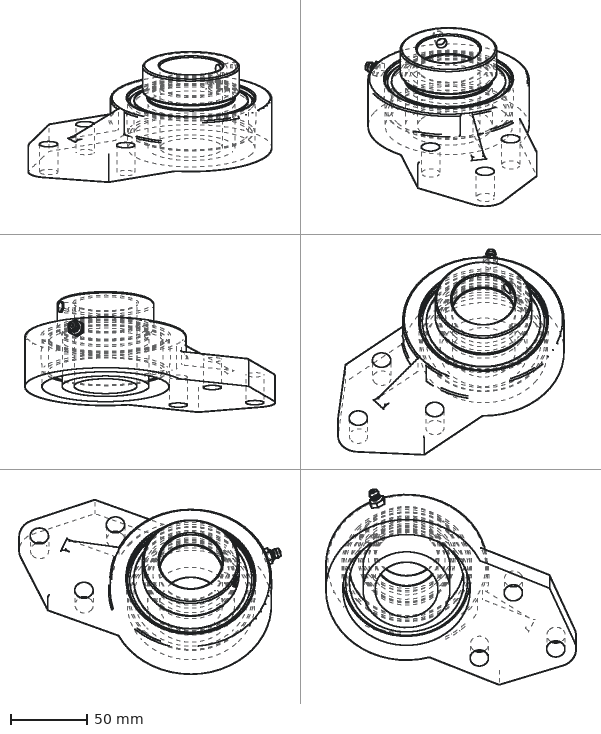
import cadquery as cq
import math

overall_height = 56.7
overall_length = 174

hub_radius = 52.98
hub_height = 34.5
hub_bore_radius = 41.8
hub_bore_chamfer = 0.9
rim_fillet = 1.0
flange_half_width = 40.0
flange_thickness = 19.0
flange_edge_fillet = 1.5
shoulder_y = -84.9
tip_radius = 13.4
side_hole_x = 27.0
side_hole_y = -64.7
bolt_hole_diameter = 12.0
rib_half_width = 4.2
rib_end_y = -90.1
rib_edge_fillet = 1.0
root_fillet = 1.0

bearing_z = 21.4
ball_radius = 42.54
outer_ring_width = 22.0
outer_ring_inner_radius = 37.5
outer_ring_chamfer = 1.0
shaft_radius = 20.62
inner_ring_bottom = 0.3
shoulder_radius = 28.5
spigot_radius = 25.14
spigot_length = 4.0
spigot_chamfer = 0.5
seal_step = 0.5
seal_cone_top = 34.3
seal_lip_radius = 28.97
seal_lip_top = 35.3
seal_thickness = 1.7

collar_radius = 31.75
collar_height = 18.3
collar_chamfer = 1.0
bore_chamfer = 0.9
screw_radius = 3.4
screw_z = 50.6
screw_inner_y = 25.2
screw_outer_y = 32.7

nipple_z = 27.1
nipple_angle = 135
hex_flats = 9.2
hex_top = 56.2
cone_top = 57.8
cone_top_radius = 3.3
neck_radius = 2.3
neck_top = 58.8
band_radius = 3.0
ridge_height = 60.7
ridge_radius = 3.3
face_height = 63.0
face_radius = 2.6
ball_seat_radius = 1.13
nipple_reach = 63.5

collar_bottom = overall_height - collar_height
tip_hole_y = hub_radius - overall_length + tip_radius
rib_start_y = -hub_bore_radius
rib_slope_y = rim_fillet - hub_radius
spigot_top = collar_bottom + spigot_length
ring_top = bearing_z + outer_ring_width / 2
ring_bottom = bearing_z - outer_ring_width / 2


def cylinder(radius, bottom, top):
    return cq.Workplane("XY").workplane(offset=bottom).circle(radius).extrude(top - bottom)


def revolve_profile(points):
    """Turn a (radius, z) outline about the Z axis."""
    return cq.Workplane("XZ").polyline(points).close().revolve(360, (0, 0), (0, 1))


def make_flange():
    reach = math.hypot(flange_half_width, shoulder_y - tip_hole_y)
    corner_angle = math.atan2(shoulder_y - tip_hole_y, flange_half_width)
    tangent_angle = corner_angle - math.acos(tip_radius / reach)
    tangent_x = tip_radius * math.cos(tangent_angle)
    tangent_y = tip_hole_y + tip_radius * math.sin(tangent_angle)
    flange = (
        cq.Workplane("XY")
        .moveTo(-flange_half_width, 0)
        .lineTo(-flange_half_width, shoulder_y)
        .lineTo(-tangent_x, tangent_y)
        .threePointArc((0, tip_hole_y - tip_radius), (tangent_x, tangent_y))
        .lineTo(flange_half_width, shoulder_y)
        .lineTo(flange_half_width, 0)
        .close()
        .extrude(flange_thickness)
    )
    return flange.faces(">Z").edges("not >Y").fillet(flange_edge_fillet)


def rib_side_outline():
    """Side outline of the rib: a slope from the hub rim down to the flange face."""
    return cq.Workplane("YZ").polyline([
        (rib_start_y, 0),
        (rib_start_y, hub_height),
        (rib_slope_y, hub_height),
        (rib_end_y, flange_thickness),
        (rib_end_y, 0),
    ]).close()


def make_rib():
    slope = cq.Vector(0, rib_end_y - rib_slope_y, flange_thickness - hub_height)
    web = rib_side_outline().extrude(rib_half_width, both=True)
    web = web.edges(cq.selectors.ParallelDirSelector(slope)).fillet(rib_edge_fillet)

    foot_half_width = rib_half_width + root_fillet
    foot_top = flange_thickness + root_fillet
    foot = (
        cq.Workplane("XZ", origin=(0, rib_start_y, 0))
        .moveTo(-foot_half_width, 0)
        .lineTo(-foot_half_width, flange_thickness)
        .radiusArc((-rib_half_width, foot_top), -root_fillet)
        .lineTo(rib_half_width, foot_top)
        .radiusArc((foot_half_width, flange_thickness), -root_fillet)
        .lineTo(foot_half_width, 0)
        .close()
        .extrude(rib_start_y - rib_end_y)
    )
    return web.union(foot.intersect(rib_side_outline().extrude(foot_half_width, both=True)))


def make_bore_mouth():
    """Cone that chamfers the upper end of the hub bore."""
    return revolve_profile([
        (0, hub_height - hub_bore_chamfer),
        (hub_bore_radius, hub_height - hub_bore_chamfer),
        (hub_bore_radius + hub_bore_chamfer, hub_height),
        (0, hub_height),
    ])


def make_ball():
    """Sphere on which the outer ring swivels in the hub."""
    return cq.Workplane("XY").sphere(ball_radius).translate((0, 0, bearing_z))


def make_housing():
    hub = cylinder(hub_radius, 0, hub_height).faces(">Z").edges().fillet(rim_fillet)
    body = hub.union(make_flange())
    root = cq.selectors.BoxSelector(
        (-flange_half_width, -hub_radius - root_fillet, flange_thickness - root_fillet),
        (flange_half_width, 0, flange_thickness + root_fillet),
    )
    body = body.edges("%CIRCLE").edges(root).fillet(root_fillet)
    body = body.union(make_rib())
    body = body.cut(cylinder(hub_bore_radius, 0, hub_height)).cut(make_bore_mouth()).cut(make_ball())
    holes = [(-side_hole_x, side_hole_y), (side_hole_x, side_hole_y), (0, tip_hole_y)]
    return body.cut(
        cq.Workplane("XY").pushPoints(holes).circle(bolt_hole_diameter / 2).extrude(flange_thickness)
    )


def make_outer_ring():
    ring = make_ball().intersect(cylinder(hub_radius, ring_bottom, ring_top))
    ring = ring.faces("<Z or >Z").chamfer(outer_ring_chamfer)
    return ring.cut(cylinder(outer_ring_inner_radius, ring_bottom, ring_top))


def make_inner_ring():
    return revolve_profile([
        (shaft_radius, inner_ring_bottom),
        (shoulder_radius, inner_ring_bottom),
        (shoulder_radius, collar_bottom),
        (spigot_radius, collar_bottom),
        (spigot_radius, spigot_top),
        (shaft_radius + spigot_chamfer, spigot_top),
        (shaft_radius, spigot_top - spigot_chamfer),
    ])


def make_seal():
    return revolve_profile([
        (outer_ring_inner_radius, ring_top - seal_thickness),
        (outer_ring_inner_radius, ring_top + seal_step),
        (seal_lip_radius, seal_cone_top),
        (seal_lip_radius, seal_lip_top),
        (shoulder_radius, seal_lip_top),
        (shoulder_radius, ring_top - seal_thickness),
    ])


def make_screw(inner_y):
    """Screw cylinder along Y, from the given inner end to its outer end past the collar."""
    start = cq.Workplane("XZ", origin=(0, inner_y, screw_z))
    return start.circle(screw_radius).extrude(inner_y - screw_outer_y)


def make_collar():
    collar = cylinder(collar_radius, collar_bottom, overall_height)
    collar = collar.faces("<Z or >Z").chamfer(collar_chamfer)
    bore = cylinder(shaft_radius, collar_bottom, overall_height)
    collar = collar.cut(bore).cut(cylinder(spigot_radius, collar_bottom, spigot_top))
    bore_edge = cq.selectors.RadiusNthSelector(0)
    collar = collar.faces(">Z").edges(bore_edge).chamfer(bore_chamfer)
    return collar.cut(make_screw(0))


def make_nipple():
    hexagon = cq.Workplane("XY").polygon(6, hex_flats / math.cos(math.pi / 6)).extrude(hex_top)
    head = revolve_profile([
        (0, 0),
        (hex_flats / 2, 0),
        (hex_flats / 2, hex_top),
        (cone_top_radius, cone_top),
        (neck_radius, cone_top),
        (neck_radius, neck_top),
        (band_radius, neck_top),
        (band_radius, ridge_height),
        (ridge_radius, ridge_height),
        (face_radius, face_height),
        (ball_seat_radius, face_height),
        (ball_seat_radius, nipple_reach),
        (0, nipple_reach),
    ])
    nipple = hexagon.union(head).rotate((0, 0, 0), (0, 1, 0), 90)
    nipple = nipple.rotate((0, 0, 0), (0, 0, 1), nipple_angle).translate((0, 0, nipple_z))
    return nipple.cut(cylinder(hub_radius, 0, hub_height))


housing = make_housing()
outer_ring = make_outer_ring()
inner_ring = make_inner_ring()
seal = make_seal()
collar = make_collar()
set_screw = make_screw(screw_inner_y)
nipple = make_nipple()

result = cq.Compound.makeCompound([
    housing.val(),
    outer_ring.val(),
    inner_ring.val(),
    seal.val(),
    collar.val(),
    set_screw.val(),
    nipple.val(),
])